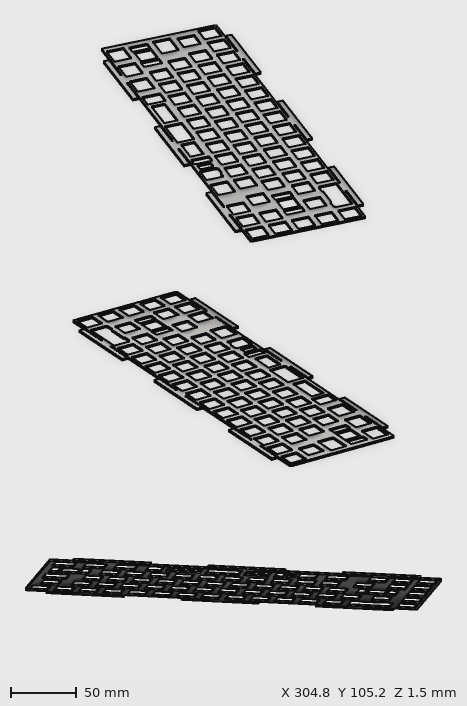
import cadquery as cq

plate_length = 304.8
overall_depth = 105.2
plate_depth = 94.2
thickness = 1.5
corner_radius = 1.0

columns = 16
rows = 5
key_pitch = plate_length / columns
eighths_per_key = 8
eighth_pitch = key_pitch / eighths_per_key
row_y = [key_pitch * ((rows - 1) / 2 - row) for row in range(rows)]
key_margin = 2.53
key_opening = key_pitch - 2 * key_margin

opening_corner_radius = 0.45

stabilizer_width = 7.0
stabilizer_height = 15.0
stabilizer_shift = 0.45
short_stabilizer_offset = 12.0
spacebar_stabilizer_offset = 50.0
long_spacebar_stabilizer_offset = 57.0

tab_length = 60.0
tab_spacing = 5.5 * key_pitch
neck_length = 13.0
slit_width = 1.0

window_height = 11.0
spacebar_windows = [(93.0, 119.5), (153.5, 172.8), (186.5, 193.0)]


def key_run(first, count):
    """Centres of a run of single-width keys, in eighths of a pitch."""
    return [first + eighths_per_key * key for key in range(count)]


switch_columns = [
    key_run(4, columns) + [112],
    [6] + key_run(16, 12) + [114, 124],
    [5, 7] + key_run(18, 11) + [111, 124],
    [9] + key_run(22, 10) + [105, 116, 124],
    [5, 6, 15, 16, 25, 26, 55, 57, 60, 85, 94, 95, 108, 116, 124],
]

stabilized_keys = [
    (0, 112, short_stabilizer_offset, -1),
    (2, 111, short_stabilizer_offset, 0),
    (3, 9, short_stabilizer_offset, -1),
    (4, 55, spacebar_stabilizer_offset, 1),
    (4, 60, long_spacebar_stabilizer_offset, 1),
]


def column_x(eighths):
    return eighths * eighth_pitch - plate_length / 2


def block(length, depth, centers):
    """Rectangular blocks through the full thickness, one at each centre."""
    return cq.Workplane("XY").pushPoints(centers).rect(length, depth).extrude(thickness)


def rounded(openings):
    return openings.edges("|Z").fillet(opening_corner_radius)


def base_plate():
    plate = cq.Workplane("XY").rect(plate_length, plate_depth).extrude(thickness)
    return plate.edges("|Z").fillet(corner_radius)


def mounting_tabs():
    tab_depth = (overall_depth - plate_depth) / 2 - slit_width
    tab_y = (overall_depth - tab_depth) / 2
    neck_y = (plate_depth + slit_width) / 2
    tab_x = [-tab_spacing, 0, tab_spacing]
    tabs = block(tab_length, tab_depth, [(x, side * tab_y) for x in tab_x for side in (-1, 1)])
    necks = block(neck_length, slit_width, [(x, side * neck_y) for x in tab_x for side in (-1, 1)])
    return tabs.union(necks)


def switch_openings():
    openings = cq.Workplane("XY")
    for y, row_columns in zip(row_y, switch_columns):
        for column in row_columns:
            openings = openings.union(block(key_opening, key_opening, [(column_x(column), y)]))
    return rounded(openings)


def stabilizer_slots():
    slots = cq.Workplane("XY")
    for row, column, offset, shift_side in stabilized_keys:
        y = row_y[row] + shift_side * stabilizer_shift
        for side in (-1, 1):
            center = (column_x(column) + side * offset, y)
            slots = slots.union(block(stabilizer_width, stabilizer_height, [center]))
    return rounded(slots)


def spacebar_window_openings():
    windows = cq.Workplane("XY")
    for left, right in spacebar_windows:
        center = ((left + right - plate_length) / 2, row_y[-1])
        windows = windows.union(block(right - left, window_height, [center]))
    return rounded(windows)


result = (
    base_plate()
    .union(mounting_tabs())
    .cut(switch_openings())
    .cut(stabilizer_slots())
    .cut(spacebar_window_openings())
)